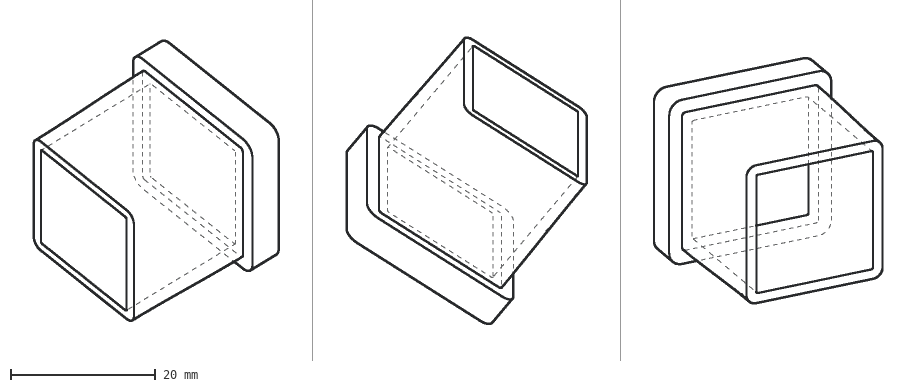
import cadquery as cq

cap_width = 25.0
cap_thickness = 5.0
cap_corner_radius = 2.0
cap_rim_fillet = 0.25
overall_length = 25.0
stem_length = overall_length - cap_thickness
stem_width = cap_width - 2 * cap_corner_radius
stem_root_radius = 0.5
stem_tip_radius = 1.5
stem_section_count = 5
wall = 1.5
cavity_width = stem_width - 2 * wall
cavity_corner_radius = 0.3


def rounded_square(width, radius):
    return cq.Sketch().rect(width, width).vertices().fillet(radius)


def section_plane(y):
    """XZ plane at the given Y, with its normal toward -Y."""
    return cq.Workplane("XZ", origin=(0, y, 0))


def stem_radius(fraction):
    """Corner radius eased smoothly from the root (0) to the tip (1)."""
    ease = fraction**2 * (3 - 2 * fraction)
    return stem_root_radius + (stem_tip_radius - stem_root_radius) * ease


def make_cap():
    block = section_plane(cap_thickness).placeSketch(rounded_square(cap_width, cap_corner_radius))
    return block.extrude(cap_thickness).faces(">Y").edges().fillet(cap_rim_fillet)


def make_stem():
    """Loft of equal squares whose corners grow rounder toward the tip."""
    sections = []
    for index in range(stem_section_count):
        fraction = index / (stem_section_count - 1)
        square = rounded_square(stem_width, stem_radius(fraction))
        sections.append(square.moved(cq.Location(cq.Vector(0, 0, fraction * stem_length))))
    return section_plane(0).placeSketch(*sections).loft()


def make_cavity():
    """Straight square bore from the open tip to the cap."""
    square = rounded_square(cavity_width, cavity_corner_radius)
    return section_plane(0).placeSketch(square).extrude(stem_length)


result = make_cap().union(make_stem()).cut(make_cavity())